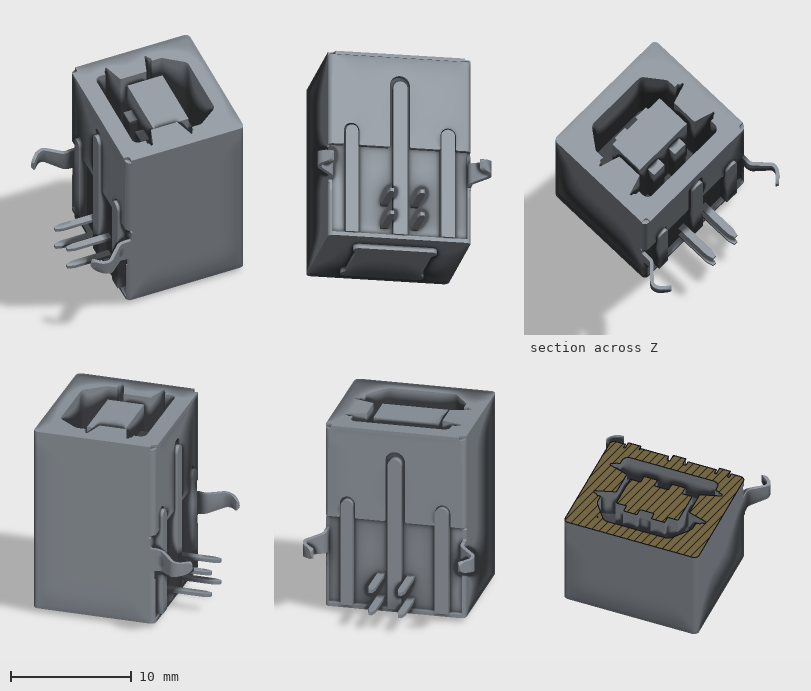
import cadquery as cq
import math

TOTAL_HEIGHT = 16.5
BODY_WIDTH = 11.98
BODY_BACK = 10.65
BODY_BOTTOM = 0.4
HALF_WIDTH = BODY_WIDTH / 2
SHELL_FRONT = 0.07
SHELL_THICKNESS = 0.3
INNER_HALF_WIDTH = HALF_WIDTH - SHELL_THICKNESS
CORNER_RADIUS = 0.43
TIP_Y = -3.35
PICK_MARGIN = 0.02

LID_THICKNESS = 0.28
LID_BOTTOM = TOTAL_HEIGHT - LID_THICKNESS
NOTCH_WIDTH = 0.55
NOTCH_DEPTH = 0.48
NOTCH_CHAMFER = 0.13

RECESS_FACE = 0.53
RECESS_BOTTOM = 0.73
WALL_BOTTOM = 8.42
SEAM_TOP = 14.47
SLOT_MOUTH_RADIUS = 0.13

RIB_FRONT = -0.2
RIBS = [(-4.06, 1.02, 10.06), (0.0, 1.15, 14.09), (4.01, 1.17, 10.11)]
SLOTS = [(-4.06, 1.29, 10.3), (0.0, 1.68, 14.64), (4.06, 1.29, 10.3)]

UPPER_OPENING_EDGE = 0.46
UPPER_OPENING_RADIUS = 0.13
RELIEF_RADIUS = 0.15
LOWER_OPENING_BOTTOM = 4.39
LOWER_OPENING_EDGE = 0.18
FLAT_WALL_BOTTOM = 5.03

LEG_SPAN = 14.6
LEG_REACH = LEG_SPAN / 2
LEG_ROOT_BACK = 1.65
ROOT_BEND_START = -0.31
ROOT_BEND_RADIUS = 0.46
KNEE_RADIUS = 0.63
TAIL_BEND_RADIUS = 1.04
OUTWARD_ANGLE = math.radians(45)
INWARD_ANGLE = math.radians(8)
TAIL_ANGLE = math.radians(48)
TAIL_START = -2.8
LEG_TOP = 7.21
LEG_ROOT_HEIGHT = 1.95
LEG_BOTTOM = LEG_TOP - LEG_ROOT_HEIGHT
LEG_MID_Z = (LEG_TOP + LEG_BOTTOM) / 2
LEG_TAPER_START = -0.08
TAIL_HALF_HEIGHT = 0.51

POCKET_FLOOR = 6.6
POCKET_FRONT = 1.47
POCKET_BACK = 9.25
POCKET_HALF_WIDTH = 4.24
POCKET_FRONT_RADIUS = 0.53
POCKET_BACK_HALF_WIDTH = 2.9
POCKET_BACK_RADIUS = 0.6
POCKET_SLANT_START = 7.47
POCKET_SLANT_RADIUS = 0.58
EAR_MIRROR_Y = 4.55
FRONT_EAR = [
    (POCKET_HALF_WIDTH, 2.48),
    (4.59, 2.48),
    (4.69, 2.62),
    (4.93, 2.69),
    (4.98, 2.84),
    (3.23, 3.38),
]
TONGUE_WIDTH = 5.56
TONGUE_FRONT = 3.81
TONGUE_BACK = 6.96
TONGUE_TOP = 16.0
CONTACT_WIDTH = 1.24
CONTACT_X = 1.24
CONTACT_FRONT = 3.07
CONTACT_BACK = 7.62
CONTACT_TOP = 14.02

PIN_WIDTH = 0.63
PIN_THICKNESS = 0.3
PIN_X = 1.27
PIN_ROWS_Z = (1.48, 3.46)
PIN_TAPER_START = -2.74
PIN_TIP_WIDTH = 0.31

PLUG_HALF_WIDTH = 3.51
PLUG_WAIST_HALF = 3.17
PLUG_FRONT = 1.85
PLUG_BACK = 8.9
PLUG_RADIUS = 0.53
WAIST_FRONT = 3.14
WAIST_BACK = 7.52


def block(x0, x1, y0, y1, z0, z1):
    """Box between two opposite corners."""
    return cq.Workplane("XY").box(x1 - x0, y1 - y0, z1 - z0, centered=False).translate((x0, y0, z0))


def mirrored(shape):
    """The shape together with its mirror image across the middle plane."""
    return shape.union(shape.mirror("YZ"))


def arched_bar(centre_x, width, top, bottom, front, back):
    """Upright bar with a fully rounded top."""
    radius = width / 2
    return (
        cq.Workplane("XZ", origin=(centre_x, back, 0))
        .moveTo(-radius, bottom)
        .lineTo(-radius, top - radius)
        .threePointArc((0, top), (radius, top - radius))
        .lineTo(radius, bottom)
        .close()
        .extrude(back - front)
    )


def make_body():
    shell = block(-HALF_WIDTH, HALF_WIDTH, SHELL_FRONT, BODY_BACK, BODY_BOTTOM, LID_BOTTOM)
    shell = shell.edges("|Z").fillet(CORNER_RADIUS)
    seam_flap = block(
        -INNER_HALF_WIDTH, INNER_HALF_WIDTH, SHELL_FRONT, RECESS_FACE, WALL_BOTTOM, SEAM_TOP
    )
    return shell.union(seam_flap)


def make_lid():
    lid = block(-HALF_WIDTH, HALF_WIDTH, 0, BODY_BACK, LID_BOTTOM, TOTAL_HEIGHT)
    lid = lid.edges("|Z and >Y").fillet(CORNER_RADIUS)
    notch = block(
        HALF_WIDTH - NOTCH_WIDTH, HALF_WIDTH, 0, NOTCH_DEPTH, LID_BOTTOM, TOTAL_HEIGHT
    )
    notch = notch.edges("|Z and <X and >Y").chamfer(NOTCH_CHAMFER)
    return lid.cut(mirrored(notch))


def make_front_recess():
    recess = block(
        -INNER_HALF_WIDTH, INNER_HALF_WIDTH, SHELL_FRONT, RECESS_FACE, RECESS_BOTTOM, WALL_BOTTOM
    )
    for centre_x, width, top in SLOTS:
        recess = recess.union(
            arched_bar(centre_x, width, top, RECESS_BOTTOM, SHELL_FRONT, RECESS_FACE)
        )
    mouths = cq.selectors.BoxSelector(
        (-INNER_HALF_WIDTH + PICK_MARGIN, 0, WALL_BOTTOM - PICK_MARGIN),
        (INNER_HALF_WIDTH - PICK_MARGIN, RECESS_FACE, WALL_BOTTOM + PICK_MARGIN),
    )
    return recess.edges("|Y").edges(mouths).fillet(SLOT_MOUTH_RADIUS)


def make_side_openings():
    upper = block(
        INNER_HALF_WIDTH, HALF_WIDTH, SHELL_FRONT, UPPER_OPENING_EDGE, LEG_TOP, WALL_BOTTOM
    )
    upper = upper.edges("|X and >Y and <Z").fillet(UPPER_OPENING_RADIUS)
    relief = (
        cq.Workplane("YZ", origin=(INNER_HALF_WIDTH, UPPER_OPENING_EDGE, WALL_BOTTOM - RELIEF_RADIUS))
        .circle(RELIEF_RADIUS)
        .extrude(SHELL_THICKNESS)
    )
    lower = block(
        INNER_HALF_WIDTH, HALF_WIDTH, SHELL_FRONT, LOWER_OPENING_EDGE, LOWER_OPENING_BOTTOM, LEG_BOTTOM
    )
    return mirrored(upper.union(relief).union(lower))


def make_leg_strip():
    """Right-hand leg at full height: a strip bent out, round the knee and back in to its tail."""
    root_x = HALF_WIDTH + ROOT_BEND_RADIUS
    knee_x = LEG_REACH - KNEE_RADIUS
    bend_run = (ROOT_BEND_RADIUS + KNEE_RADIUS) * math.cos(OUTWARD_ANGLE)
    bend_drop = (ROOT_BEND_RADIUS + KNEE_RADIUS) * math.sin(OUTWARD_ANGLE)
    straight_drop = (knee_x - root_x + bend_run) / math.tan(OUTWARD_ANGLE)
    knee_y = ROOT_BEND_START - bend_drop - straight_drop
    tail_bend_x = knee_x - (TAIL_BEND_RADIUS - KNEE_RADIUS) * math.cos(INWARD_ANGLE)
    tail_bend_y = knee_y + (TAIL_BEND_RADIUS - KNEE_RADIUS) * math.sin(INWARD_ANGLE)
    tail_mid_angle = (INWARD_ANGLE + TAIL_ANGLE) / 2
    inner_root = ROOT_BEND_RADIUS + SHELL_THICKNESS
    inner_knee = KNEE_RADIUS - SHELL_THICKNESS
    inner_tail = TAIL_BEND_RADIUS - SHELL_THICKNESS

    def root_point(radius, angle):
        return (root_x - radius * math.cos(angle), ROOT_BEND_START - radius * math.sin(angle))

    def knee_point(radius, angle):
        return (knee_x + radius * math.cos(angle), knee_y + radius * math.sin(angle))

    def tail_point(radius, angle):
        return (tail_bend_x + radius * math.cos(angle), tail_bend_y - radius * math.sin(angle))

    tail_start = tail_point(TAIL_BEND_RADIUS, TAIL_ANGLE)
    outer_tip = (tail_start[0] - (tail_start[1] - TIP_Y) * math.tan(TAIL_ANGLE), TIP_Y)
    inner_tip = (
        outer_tip[0] - SHELL_THICKNESS * math.cos(TAIL_ANGLE),
        TIP_Y + SHELL_THICKNESS * math.sin(TAIL_ANGLE),
    )
    return (
        cq.Workplane("XY")
        .moveTo(HALF_WIDTH, LEG_ROOT_BACK)
        .lineTo(*root_point(ROOT_BEND_RADIUS, 0))
        .threePointArc(
            root_point(ROOT_BEND_RADIUS, OUTWARD_ANGLE / 2), root_point(ROOT_BEND_RADIUS, OUTWARD_ANGLE)
        )
        .lineTo(*knee_point(KNEE_RADIUS, OUTWARD_ANGLE))
        .threePointArc(knee_point(KNEE_RADIUS, 0), knee_point(KNEE_RADIUS, -INWARD_ANGLE))
        .threePointArc(tail_point(TAIL_BEND_RADIUS, tail_mid_angle), tail_start)
        .lineTo(*outer_tip)
        .lineTo(*inner_tip)
        .lineTo(*tail_point(inner_tail, TAIL_ANGLE))
        .threePointArc(tail_point(inner_tail, tail_mid_angle), tail_point(inner_tail, INWARD_ANGLE))
        .threePointArc(knee_point(inner_knee, 0), knee_point(inner_knee, OUTWARD_ANGLE))
        .lineTo(*root_point(inner_root, OUTWARD_ANGLE))
        .threePointArc(root_point(inner_root, OUTWARD_ANGLE / 2), root_point(inner_root, 0))
        .lineTo(INNER_HALF_WIDTH, LEG_ROOT_BACK)
        .close()
        .extrude(TOTAL_HEIGHT)
    )


def make_legs():
    side_outline = (
        cq.Workplane("YZ")
        .moveTo(LEG_ROOT_BACK, LEG_TOP)
        .lineTo(LEG_TAPER_START, LEG_TOP)
        .lineTo(TAIL_START, LEG_MID_Z + TAIL_HALF_HEIGHT)
        .threePointArc((TIP_Y, LEG_MID_Z), (TAIL_START, LEG_MID_Z - TAIL_HALF_HEIGHT))
        .lineTo(LEG_TAPER_START, LEG_BOTTOM)
        .lineTo(LOWER_OPENING_EDGE, LEG_BOTTOM)
        .lineTo(LOWER_OPENING_EDGE, FLAT_WALL_BOTTOM)
        .lineTo(LEG_ROOT_BACK, FLAT_WALL_BOTTOM)
        .close()
        .extrude(LEG_REACH)
    )
    return mirrored(make_leg_strip().intersect(side_outline))


def make_pocket():
    back_ear = [(x, 2 * EAR_MIRROR_Y - y) for x, y in reversed(FRONT_EAR)]
    right_side = [
        (POCKET_HALF_WIDTH, POCKET_FRONT),
        *FRONT_EAR,
        *back_ear,
        (POCKET_HALF_WIDTH, POCKET_SLANT_START),
        (POCKET_BACK_HALF_WIDTH, POCKET_BACK),
    ]
    left_side = [(-x, y) for x, y in reversed(right_side)]
    pocket = (
        cq.Workplane("XY", origin=(0, 0, POCKET_FLOOR))
        .polyline(right_side + left_side)
        .close()
        .extrude(TOTAL_HEIGHT - POCKET_FLOOR)
    )
    pocket = pocket.edges("|Z and <Y").fillet(POCKET_FRONT_RADIUS)
    pocket = pocket.edges("|Z and >Y").fillet(POCKET_BACK_RADIUS)
    slant_corners = cq.selectors.BoxSelector(
        (-TOTAL_HEIGHT, POCKET_SLANT_START - PICK_MARGIN, 0),
        (TOTAL_HEIGHT, POCKET_SLANT_START + PICK_MARGIN, TOTAL_HEIGHT),
    )
    return pocket.edges("|Z").edges(slant_corners).fillet(POCKET_SLANT_RADIUS)


def make_tongue():
    tongue = block(
        -TONGUE_WIDTH / 2, TONGUE_WIDTH / 2, TONGUE_FRONT, TONGUE_BACK, POCKET_FLOOR, TONGUE_TOP
    )
    contact = block(
        CONTACT_X - CONTACT_WIDTH / 2,
        CONTACT_X + CONTACT_WIDTH / 2,
        CONTACT_FRONT,
        CONTACT_BACK,
        POCKET_FLOOR,
        CONTACT_TOP,
    )
    return tongue.union(mirrored(contact))


def make_ribs():
    ribs = cq.Workplane("XY")
    for centre_x, width, top in RIBS:
        ribs = ribs.union(
            arched_bar(centre_x, width, top, RECESS_BOTTOM, RIB_FRONT, RECESS_FACE)
        )
    return ribs


def make_pins():
    pin = (
        cq.Workplane("XY", origin=(PIN_X, 0, -PIN_THICKNESS / 2))
        .moveTo(-PIN_WIDTH / 2, RECESS_FACE)
        .lineTo(-PIN_WIDTH / 2, PIN_TAPER_START)
        .lineTo(-PIN_TIP_WIDTH / 2, TIP_Y)
        .lineTo(PIN_TIP_WIDTH / 2, TIP_Y)
        .lineTo(PIN_WIDTH / 2, PIN_TAPER_START)
        .lineTo(PIN_WIDTH / 2, RECESS_FACE)
        .close()
        .extrude(PIN_THICKNESS)
    )
    pins = cq.Workplane("XY")
    for row_z in PIN_ROWS_Z:
        pins = pins.union(mirrored(pin.translate((0, 0, row_z))))
    return pins


def make_plug():
    """Low block under the body, slightly waisted along its two sides."""
    front_corner = PLUG_FRONT + PLUG_RADIUS
    back_corner = PLUG_BACK - PLUG_RADIUS
    blend_x = (PLUG_HALF_WIDTH + PLUG_WAIST_HALF) / 2
    half_plug = (
        cq.Workplane("XY")
        .moveTo(0, PLUG_FRONT)
        .lineTo(PLUG_HALF_WIDTH - PLUG_RADIUS, PLUG_FRONT)
        .radiusArc((PLUG_HALF_WIDTH, front_corner), -PLUG_RADIUS)
        .tangentArcPoint((blend_x, (front_corner + WAIST_FRONT) / 2), relative=False)
        .tangentArcPoint((PLUG_WAIST_HALF, WAIST_FRONT), relative=False)
        .lineTo(PLUG_WAIST_HALF, WAIST_BACK)
        .tangentArcPoint((blend_x, (WAIST_BACK + back_corner) / 2), relative=False)
        .tangentArcPoint((PLUG_HALF_WIDTH, back_corner), relative=False)
        .radiusArc((PLUG_HALF_WIDTH - PLUG_RADIUS, PLUG_BACK), -PLUG_RADIUS)
        .lineTo(0, PLUG_BACK)
        .close()
        .extrude(BODY_BOTTOM)
    )
    return mirrored(half_plug)


result = (
    make_body()
    .union(make_lid())
    .cut(make_front_recess())
    .cut(make_side_openings())
    .cut(make_pocket())
    .union(make_tongue())
    .union(make_legs())
    .union(make_ribs())
    .union(make_pins())
    .union(make_plug())
)